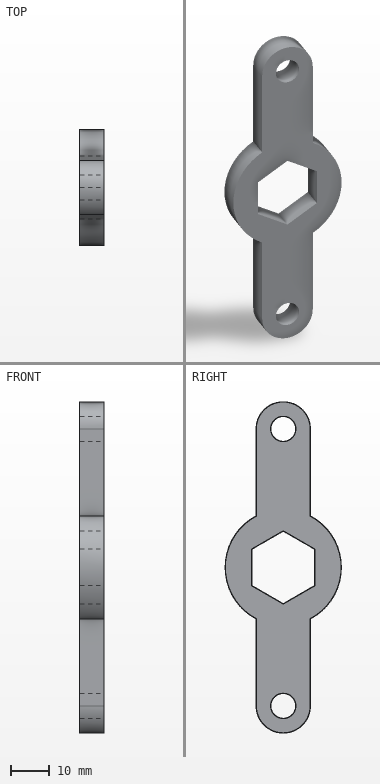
import cadquery as cq
import math

length = 85.4
thickness = 6.3
hub_diameter = 30.0
arm_width = 14.0
hole_diameter = 6.4
hex_across_flats = 16.2

hole_spacing = length - arm_width
hex_across_corners = hex_across_flats / math.cos(math.radians(30))


def profile():
    """Sketch plane through the middle of the plate: local x is Y, local y is Z."""
    return cq.Workplane("YZ")


arms = profile().slot2D(length, arm_width, 90).extrude(thickness / 2, both=True)

hub = profile().circle(hub_diameter / 2).extrude(thickness / 2, both=True)

hex_opening = (
    profile()
    .transformed(rotate=(0, 0, 90))
    .polygon(6, hex_across_corners)
    .extrude(thickness / 2, both=True)
)

end_holes = (
    profile()
    .pushPoints([(0, side * hole_spacing / 2) for side in (-1, 1)])
    .circle(hole_diameter / 2)
    .extrude(thickness / 2, both=True)
)

result = arms.union(hub).cut(hex_opening).cut(end_holes)